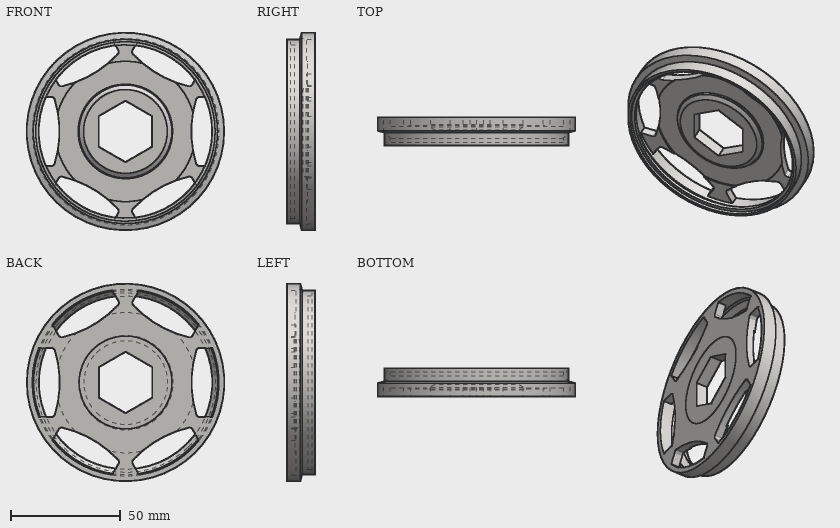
import cadquery as cq
import math

outer_radius = 45.0
width = 13.0
back_y = width / 2
front_y = -width / 2

flange_thickness = 6.2
cone_length = 0.8
collar_radius = 41.9
recess_radius = 40.9
recess_depth = 1.6
lip_radius = 39.4
lip_thickness = 1.8
rim_inner_radius = 42.5
undercut_depth = 6.0

web_thickness = 4.1
hollow_radius = 31.95
hollow_thickness = 3.6

window_count = 6
window_half_length = 15.7
window_inner_reach = 30.1
window_arc_radius = 49.9
window_corner_radius = 1.5

hub_radius = 21.15
hub_length = 5.8
hub_chamfer_radial = 2.1
hub_chamfer_axial = 1.35
bore_chamfer = 0.4
hex_across_flats = 24.1


def disc(radius, rear_y, length):
    """Cylinder on the Y axis that runs forward (toward -Y) from rear_y."""
    return cq.Workplane("XZ", origin=(0, rear_y, 0)).circle(radius).extrude(length)


def make_rim():
    """Turned ring: flange, cone, collar, front recess, and a lip undercut by a cone."""
    flange_y = back_y - flange_thickness
    recess_y = front_y + recess_depth
    profile = [
        (rim_inner_radius, back_y),
        (outer_radius, back_y),
        (outer_radius, flange_y),
        (collar_radius, flange_y - cone_length),
        (collar_radius, front_y),
        (recess_radius, front_y),
        (recess_radius, recess_y),
        (lip_radius, recess_y),
        (lip_radius, recess_y + lip_thickness),
        (rim_inner_radius, back_y - undercut_depth),
    ]
    return cq.Workplane("XY").polyline(profile).close().revolve(360, (0, 0, 0), (0, 1, 0))


def make_window(angle):
    """Cutter for one window: arc inner side, parallel ends, open outward to the rim."""
    arc_drop = window_arc_radius - math.sqrt(window_arc_radius**2 - window_half_length**2)
    inner_x = window_inner_reach + arc_drop
    outline = (
        cq.Workplane("XZ", origin=(0, back_y, 0))
        .moveTo(inner_x, -window_half_length)
        .threePointArc((window_inner_reach, 0), (inner_x, window_half_length))
        .lineTo(outer_radius, window_half_length)
        .lineTo(outer_radius, -window_half_length)
        .close()
    )
    cutter = outline.extrude(web_thickness).edges("|Y").edges("<X").fillet(window_corner_radius)
    return cutter.rotate((0, 0, 0), (0, 1, 0), angle)


def make_bore():
    """Cutter for the hub bore, widened by a small chamfer where it meets the hollow."""
    floor_y = back_y - hollow_thickness
    profile = [
        (0, back_y),
        (hub_radius, back_y),
        (hub_radius, floor_y + bore_chamfer),
        (hub_radius + bore_chamfer, floor_y),
        (0, floor_y),
    ]
    return cq.Workplane("XY").polyline(profile).close().revolve(360, (0, 0, 0), (0, 1, 0))


def make_web():
    """Plate with the round hollow, the hub bore and the ring of windows cut out."""
    web = disc(rim_inner_radius, back_y, web_thickness)
    web = web.cut(disc(hollow_radius, back_y - hollow_thickness, width))
    web = web.cut(make_bore())
    for index in range(window_count):
        web = web.cut(make_window(index * 360 / window_count))
    return web


def make_wheel():
    """Rim and web joined in one piece."""
    return make_rim().union(make_web())


def make_hub():
    """Round insert with a chamfered front edge and a through hexagon, corners toward +Z and -Z."""
    hub = disc(hub_radius, back_y, hub_length)
    hub = hub.faces("<Y").chamfer(hub_chamfer_axial, hub_chamfer_radial)
    hex_diameter = hex_across_flats / math.cos(math.pi / 6)
    hexagon = (
        cq.Workplane("XZ", origin=(0, back_y, 0))
        .transformed(rotate=(0, 0, 90))
        .polygon(6, hex_diameter)
        .extrude(width)
    )
    return hub.cut(hexagon)


wheel = make_wheel()
hub = make_hub()
result = cq.Compound.makeCompound([wheel.val(), hub.val()])